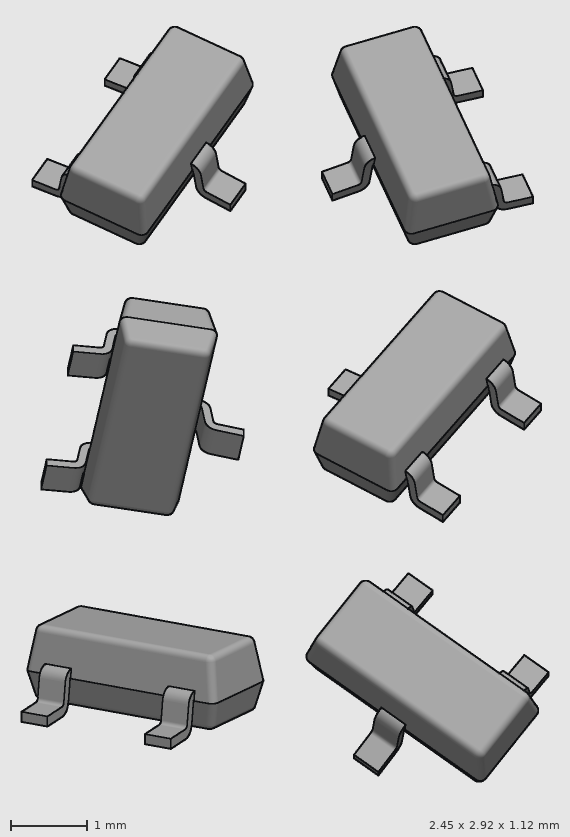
import cadquery as cq
import math

HOUSING_LENGTH = 2.92
HOUSING_WIDTH = 1.3
UPPER_HEIGHT = 0.613
LOWER_HEIGHT = 0.405
UPPER_DRAFT = 9.0
LOWER_DRAFT = 13.0
EDGE_RADIUS = 0.1

LEAD_SPAN = 2.45
LEAD_WIDTH = 0.4
LEAD_PITCH = 1.898
RISER_THICKNESS = 0.117
TIP_HEIGHT = 0.14
BEND_RADIUS_INNER = 0.058
BEND_RADIUS_OUTER = BEND_RADIUS_INNER + RISER_THICKNESS
SHOULDER_X = 0.607
SHOULDER_TOP_Z = 0.135
TIP_BOTTOM_Z = -0.508
RISER_LEAN = 8.0
FOOT_SLOPE = 5.6


def housing_half(height, draft, parting_edges):
    """Drafted block with every edge rounded except the four in the parting plane."""
    block = cq.Workplane("XY").rect(HOUSING_WIDTH, HOUSING_LENGTH).extrude(height, taper=draft)
    return block.edges(f"not {parting_edges}").fillet(EDGE_RADIUS)


def make_housing():
    """Upper and lower halves joined into one solid, widest at the parting plane."""
    upper = housing_half(UPPER_HEIGHT, UPPER_DRAFT, "<Z")
    lower = housing_half(-LOWER_HEIGHT, LOWER_DRAFT, ">Z")
    return upper.union(lower)


def polar(center, radius, degrees):
    """Point at the given angle on a circle around center."""
    angle = math.radians(degrees)
    return (center[0] + radius * math.cos(angle), center[1] + radius * math.sin(angle))


def ankle_bend(riser_point, foot_point, radius):
    """Start, middle and end of the arc that rounds the corner between riser and foot lines."""
    lean = math.tan(math.radians(RISER_LEAN))
    slope = math.tan(math.radians(FOOT_SLOPE))
    corner_x = riser_point[0] - lean * (foot_point[1] + slope * foot_point[0] - riser_point[1])
    corner_x = corner_x / (1 - lean * slope)
    corner_z = foot_point[1] - slope * (corner_x - foot_point[0])
    to_riser = 90 + RISER_LEAN
    to_foot = -FOOT_SLOPE
    bisector = (to_riser + to_foot) / 2
    half_angle = math.radians(to_riser - to_foot) / 2
    tangent_length = radius / math.tan(half_angle)
    center = polar((corner_x, corner_z), radius / math.sin(half_angle), bisector)
    start = polar((corner_x, corner_z), tangent_length, to_riser)
    middle = polar(center, radius, bisector + 180)
    end = polar((corner_x, corner_z), tangent_length, to_foot)
    return start, middle, end


def make_lead(housing):
    """Lead on the +X side at Y = 0, ending flush on the housing wall."""
    shoulder_center = (SHOULDER_X, SHOULDER_TOP_Z - BEND_RADIUS_OUTER)
    shoulder_middle = (90 + RISER_LEAN) / 2
    outer_shoulder_end = polar(shoulder_center, BEND_RADIUS_OUTER, RISER_LEAN)
    inner_shoulder_end = polar(shoulder_center, BEND_RADIUS_INNER, RISER_LEAN)
    tip_bottom = (LEAD_SPAN / 2, TIP_BOTTOM_Z)
    tip_top = (LEAD_SPAN / 2, TIP_BOTTOM_Z + TIP_HEIGHT)
    upper_ankle = ankle_bend(outer_shoulder_end, tip_top, BEND_RADIUS_INNER)
    lower_ankle = ankle_bend(inner_shoulder_end, tip_bottom, BEND_RADIUS_OUTER)
    lead = (
        cq.Workplane("XZ")
        .moveTo(*polar(shoulder_center, BEND_RADIUS_OUTER, 90))
        .threePointArc(polar(shoulder_center, BEND_RADIUS_OUTER, shoulder_middle), outer_shoulder_end)
        .lineTo(*upper_ankle[0])
        .threePointArc(upper_ankle[1], upper_ankle[2])
        .lineTo(*tip_top)
        .lineTo(*tip_bottom)
        .lineTo(*lower_ankle[2])
        .threePointArc(lower_ankle[1], lower_ankle[0])
        .lineTo(*inner_shoulder_end)
        .threePointArc(
            polar(shoulder_center, BEND_RADIUS_INNER, shoulder_middle),
            polar(shoulder_center, BEND_RADIUS_INNER, 90),
        )
        .close()
        .extrude(LEAD_WIDTH / 2, both=True)
    )
    return lead.cut(housing)


housing = make_housing()
right_lead = make_lead(housing)
left_lead = right_lead.rotate((0, 0, 0), (0, 0, 1), 180)
leads = [right_lead]
for lead_y in (-LEAD_PITCH / 2, LEAD_PITCH / 2):
    leads.append(left_lead.translate((0, lead_y, 0)))

result = cq.Compound.makeCompound([housing.solids().val(), *[lead.solids().val() for lead in leads]])